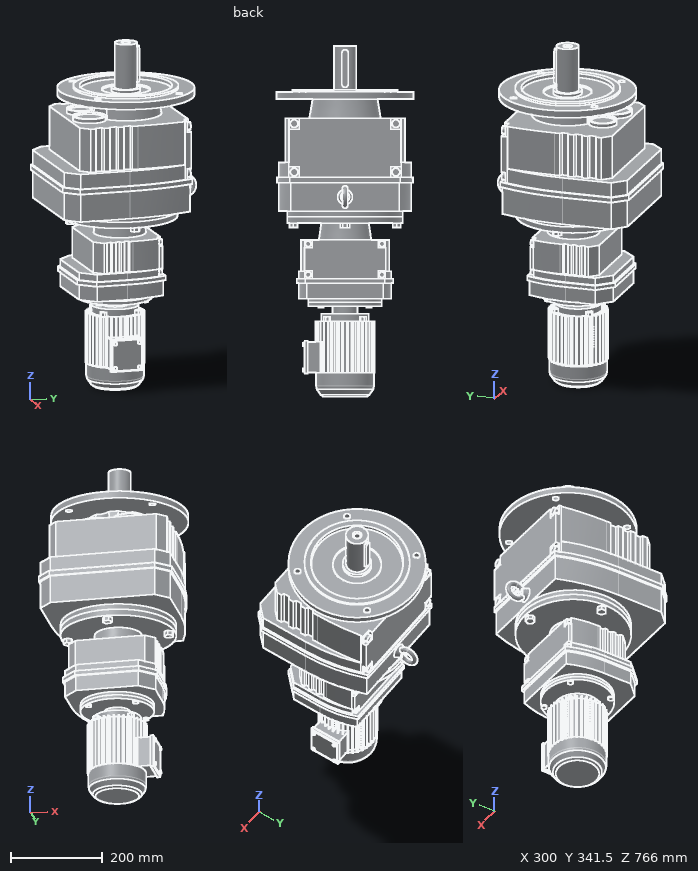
import cadquery as cq
import math

TOTAL_HEIGHT = 766.0

OUTPUT_AXIS_Y = 0.0
STAGE_AXIS_Y = -14.0
MOTOR_AXIS_Y = -24.5

BOLT_COUNT = 4
DIAGONAL = 45.0

GROOVE_COUNT = 3

SHAFT_RADIUS = 24.5
SHAFT_LENGTH = 100.0
COLLAR_RADIUS = 31.5
CENTRE_HOLE_RADIUS = 7.0
CENTRE_HOLE_MOUTH_RADIUS = 10.0
CENTRE_HOLE_DEPTH = 31.0
DRILL_POINT_ANGLE = 118.0
KEY_WIDTH = 14.0
KEY_LENGTH = 82.0
KEY_END_GAP = 8.5
KEY_PROUD = 4.5

FLANGE_RADIUS = 150.0
FLANGE_THICKNESS = 16.0
SPIGOT_RADIUS = 115.0
SPIGOT_HEIGHT = 4.5
RECESS_MOUTH_RADIUS = 101.0
RECESS_FLOOR_RADIUS = 99.5
RECESS_DEPTH = 4.0
SEAL_RADIUS = 53.0
SEAL_STEP = 4.0
FLANGE_HOLE_RADIUS = 7.0
FLANGE_HOLE_CIRCLE = 132.0

NECK_HEIGHT = 41.0
NECK_TOP_RADIUS = 71.0
NECK_BASE_RADIUS = 78.0
SMALL_CAP_X = -34.5
SMALL_CAP_Y = -93.0
SMALL_CAP_RADIUS = 31.0
LARGE_CAP_X = 41.0
LARGE_CAP_Y = -96.5
LARGE_CAP_RADIUS = 36.0
CAP_HEIGHT = 9.0
CAP_RIM = 4.0
CAP_RECESS_DEPTH = 4.0
CAP_CLEARANCE = 3.0

CASE_TOP_HEIGHT = 96.5
CASE_SHOULDER_HEIGHT = 33.0
CASE_LIP_HEIGHT = 11.5
CASE_BASE_HEIGHT = 62.0
COVER_RADIUS = 126.5
COVER_HEIGHT = 12.0

EYE_Y = 136.0
EYE_RADIUS = 18.5
EYE_ROD_RADIUS = 6.0
EYE_FOOT_RADIUS = 17.0
EYE_FOOT_LENGTH = 15.0
EYE_FOOT_TIP_RADIUS = 10.0

STAGE_FLANGE_HEIGHT = 14.0
STAGE_BOLT_CIRCLE = 112.5
STAGE_BOLT_DIAMETER = 21.0
STAGE_BOLT_HEIGHT = 10.0
STAGE_NECK_HEIGHT = 37.0
STAGE_NECK_TOP_RADIUS = 52.0
STAGE_NECK_BASE_RADIUS = 57.5
STAGE_TOP_HEIGHT = 68.0
STAGE_SHOULDER_HEIGHT = 16.0
STAGE_LIP_HEIGHT = 10.0
STAGE_BASE_HEIGHT = 34.5
STAGE_COVER_RADIUS = 80.5
STAGE_COVER_HEIGHT = 8.0

ADAPTER_HEIGHT = 8.5
ADAPTER_BOLT_CIRCLE = 74.0
ADAPTER_BOLT_RADIUS = 6.0
ADAPTER_BOLT_HEIGHT = 3.0
MOTOR_NECK_RADIUS = 27.5
MOTOR_NECK_HEIGHT = 16.0
SHIELD_RADIUS = 52.0
SHIELD_HEIGHT = 16.0
SHIELD_BOLT_CIRCLE = 54.5
SHIELD_BOLT_DIAMETER = 15.0
SHIELD_BOLT_HEIGHT = 9.0
CORE_RADIUS = 55.0
FIN_RADIUS = 65.0
FIN_COUNT = 36
FIN_THICKNESS = 2.0
FIN_HEIGHT = 112.5
FAN_RADIUS = 63.5
FAN_EDGE_HEIGHT = 24.0
FAN_BEVEL_RADIUS = 62.0
FAN_BEVEL_HEIGHT = 17.0
FAN_SHOULDER_RADIUS = 54.0
FAN_SHOULDER_HEIGHT = 4.5
FAN_END_RADIUS = 47.5

BOX_REACH = 81.0
BOX_WIDTH = 67.5
BOX_HEIGHT = 67.5
LID_THICKNESS = 7.0
LID_OVERHANG = 2.0
LID_PANEL_THICKNESS = 1.5
LID_SCREW_RADIUS = 4.0
LID_SCREW_HEIGHT = 2.0
LID_SCREW_INSET = 6.0

FLANGE_FACE_Z = TOTAL_HEIGHT - SHAFT_LENGTH
FLANGE_BACK_Z = FLANGE_FACE_Z - FLANGE_THICKNESS
CASE_TOP_Z = FLANGE_BACK_Z - NECK_HEIGHT
CASE_SHOULDER_Z = CASE_TOP_Z - CASE_TOP_HEIGHT
CASE_LIP_Z = CASE_SHOULDER_Z - CASE_SHOULDER_HEIGHT
CASE_BASE_Z = CASE_LIP_Z - CASE_LIP_HEIGHT - CASE_BASE_HEIGHT
STAGE_JOINT_Z = CASE_BASE_Z - COVER_HEIGHT
STAGE_FLANGE_BACK_Z = STAGE_JOINT_Z - STAGE_FLANGE_HEIGHT
STAGE_TOP_Z = STAGE_FLANGE_BACK_Z - STAGE_NECK_HEIGHT
STAGE_SHOULDER_Z = STAGE_TOP_Z - STAGE_TOP_HEIGHT
STAGE_LIP_Z = STAGE_SHOULDER_Z - STAGE_SHOULDER_HEIGHT
STAGE_BASE_Z = STAGE_LIP_Z - STAGE_LIP_HEIGHT - STAGE_BASE_HEIGHT
MOTOR_JOINT_Z = STAGE_BASE_Z - STAGE_COVER_HEIGHT
ADAPTER_BACK_Z = MOTOR_JOINT_Z - ADAPTER_HEIGHT
SHIELD_TOP_Z = ADAPTER_BACK_Z - MOTOR_NECK_HEIGHT
FIN_TOP_Z = SHIELD_TOP_Z - SHIELD_HEIGHT
FIN_BASE_Z = FIN_TOP_Z - FIN_HEIGHT


def disc(radius, top_z, height, x=0.0, y=0.0):
    """Upright cylinder hanging down from top_z."""
    return cq.Workplane("XY", origin=(x, y, top_z)).circle(radius).extrude(-height)


def cone(top_radius, base_radius, top_z, height, y):
    """Upright frustum hanging down from top_z."""
    outline = [(0, top_z), (top_radius, top_z), (base_radius, top_z - height), (0, top_z - height)]
    return revolve_outline(outline).translate((0, y, 0))


def revolve_outline(points):
    """Solid of revolution about Z from (radius, z) points."""
    return cq.Workplane("XZ").polyline(points).close().revolve(360, (0, 0), (0, 1))


def ring_of_points(radius, count, start_angle):
    angles = [math.radians(start_angle + i * 360 / count) for i in range(count)]
    return [(radius * math.cos(a), radius * math.sin(a)) for a in angles]


def case_block(top_z, height, half_width, front, corner, arc_start, arc_radius, back, grow=0.0):
    """Gear case slab: chamfered front corners, straight sides, then sides arching in to a flat back.

    front and back are Y positions; grow widens the whole outline evenly.
    """
    half = half_width + grow
    nose = front - grow
    cut = corner + grow * (2 - math.sqrt(2))
    rear = back + grow
    bend = arc_radius + grow
    rear_half = half - bend + math.sqrt(bend**2 - (rear - arc_start) ** 2)
    return (
        cq.Workplane("XY", origin=(0, 0, top_z))
        .moveTo(0, nose)
        .lineTo(half - cut, nose)
        .lineTo(half, nose + cut)
        .lineTo(half, arc_start)
        .tangentArcPoint((rear_half, rear), relative=False)
        .lineTo(0, rear)
        .mirrorY()
        .extrude(-height)
    )


def side_grooves(top_z, height, half_width, first_y, pitch, depth, wall_run):
    """Upright grooves in each side of a gear case, as wide as the ribs between them.

    first_y is the middle of the rearmost sloping wall; every wall runs wall_run along Y.
    """
    lean = wall_run / 2
    grooves = []
    for i in range(GROOVE_COUNT):
        rear_y = first_y - 2 * i * pitch
        front_y = rear_y - pitch
        groove = (
            cq.Workplane("XY", origin=(0, 0, top_z))
            .moveTo(half_width, rear_y + lean)
            .lineTo(half_width, front_y - lean)
            .lineTo(half_width - depth, front_y + lean)
            .lineTo(half_width - depth, rear_y - lean)
            .close()
            .extrude(-height)
        )
        grooves += [groove, groove.mirror("YZ")]
    return grooves


def rear_cover(top_z, height, half_width, inner_y, thickness, notch_width, notch_height, screw_radius):
    """Cover plate on the rear face, with a screw head standing in each notched corner."""
    middle_z = top_z - height / 2
    plate = cq.Workplane("XY").box(2 * half_width, thickness, height)
    plate = plate.translate((0, inner_y + thickness / 2, middle_z))
    corner_x = half_width - notch_width / 2
    corner_z = height / 2 - notch_height / 2
    for side in (-1, 1):
        for end in (-1, 1):
            notch = cq.Workplane("XY").box(notch_width, thickness, notch_height)
            notch = notch.translate((side * corner_x, inner_y + thickness / 2, middle_z + end * corner_z))
            head = cq.Workplane("XZ", origin=(side * corner_x, inner_y, middle_z + end * corner_z))
            plate = plate.cut(notch).union(head.circle(screw_radius).extrude(-thickness))
    return plate


def output_flange():
    floor_z = FLANGE_FACE_Z - RECESS_DEPTH
    spigot_z = FLANGE_FACE_Z + SPIGOT_HEIGHT
    seal_z = floor_z - SEAL_STEP
    flange = revolve_outline([
        (0, FLANGE_BACK_Z),
        (FLANGE_RADIUS, FLANGE_BACK_Z),
        (FLANGE_RADIUS, FLANGE_FACE_Z),
        (SPIGOT_RADIUS, FLANGE_FACE_Z),
        (SPIGOT_RADIUS, spigot_z),
        (RECESS_MOUTH_RADIUS, spigot_z),
        (RECESS_FLOOR_RADIUS, floor_z),
        (SEAL_RADIUS, floor_z),
        (SEAL_RADIUS, seal_z),
        (COLLAR_RADIUS, seal_z),
        (COLLAR_RADIUS, FLANGE_FACE_Z),
        (0, FLANGE_FACE_Z),
    ])
    holes = (
        cq.Workplane("XY", origin=(0, 0, FLANGE_FACE_Z))
        .pushPoints(ring_of_points(FLANGE_HOLE_CIRCLE, BOLT_COUNT, DIAGONAL))
        .circle(FLANGE_HOLE_RADIUS)
        .extrude(-FLANGE_THICKNESS)
    )
    return flange.cut(holes)


def output_shaft():
    """Keyed shaft with a countersunk centre hole that ends in a drill point."""
    shaft = disc(SHAFT_RADIUS, TOTAL_HEIGHT, SHAFT_LENGTH)
    mouth_depth = CENTRE_HOLE_MOUTH_RADIUS - CENTRE_HOLE_RADIUS
    point_depth = CENTRE_HOLE_RADIUS / math.tan(math.radians(DRILL_POINT_ANGLE / 2))
    wall_end_z = TOTAL_HEIGHT - CENTRE_HOLE_DEPTH
    centre_hole = revolve_outline([
        (0, TOTAL_HEIGHT),
        (CENTRE_HOLE_MOUTH_RADIUS, TOTAL_HEIGHT),
        (CENTRE_HOLE_RADIUS, TOTAL_HEIGHT - mouth_depth),
        (CENTRE_HOLE_RADIUS, wall_end_z),
        (0, wall_end_z - point_depth),
    ])
    key_z = TOTAL_HEIGHT - KEY_END_GAP - KEY_LENGTH / 2
    key_seat = SHAFT_RADIUS - KEY_PROUD
    key = (
        cq.Workplane("XZ", origin=(0, key_seat, key_z))
        .slot2D(KEY_LENGTH, KEY_WIDTH, 90)
        .extrude(-2 * KEY_PROUD)
    )
    return shaft.union(key).cut(centre_hole)


def output_neck():
    """Tapered neck, relieved around two recessed caps on the case top."""
    neck = cone(NECK_TOP_RADIUS, NECK_BASE_RADIUS, FLANGE_BACK_Z, NECK_HEIGHT, OUTPUT_AXIS_Y)
    cap_top_z = CASE_TOP_Z + CAP_HEIGHT
    caps = [
        (SMALL_CAP_X, SMALL_CAP_Y, SMALL_CAP_RADIUS),
        (LARGE_CAP_X, LARGE_CAP_Y, LARGE_CAP_RADIUS),
    ]
    for x, y, radius in caps:
        neck = neck.cut(disc(radius + CAP_CLEARANCE, FLANGE_BACK_Z, NECK_HEIGHT, x, y))
    for x, y, radius in caps:
        cap = disc(radius, cap_top_z, CAP_HEIGHT, x, y)
        recess = disc(radius - CAP_RIM, cap_top_z, CAP_RECESS_DEPTH, x, y)
        neck = neck.union(cap.cut(recess))
    return neck


def output_case():
    wide = dict(half_width=145.0, front=-177.0, corner=28.0, arc_start=-36.0, arc_radius=414.0)
    narrow = dict(half_width=131.0, front=-140.0, corner=19.0, arc_start=-14.0, arc_radius=659.0)
    grooves = dict(first_y=-27.5, pitch=16.0, depth=6.0, wall_run=3.0)
    corners = dict(notch_width=23.0, notch_height=24.0, screw_radius=8.5)
    pad_y = 97.0
    pad_thickness = 5.0
    pad_half_width = 122.5
    back_y = 110.0
    plate_thickness = 9.0
    lip_grow = 4.0
    rear_height = CASE_TOP_HEIGHT + CASE_SHOULDER_HEIGHT

    top = case_block(CASE_TOP_Z, CASE_TOP_HEIGHT, back=pad_y, **narrow)
    for groove in side_grooves(CASE_TOP_Z, CASE_TOP_HEIGHT, narrow["half_width"], **grooves):
        top = top.cut(groove)
    shoulder = case_block(CASE_SHOULDER_Z, CASE_SHOULDER_HEIGHT, back=pad_y, **wide)
    lip = case_block(CASE_LIP_Z, CASE_LIP_HEIGHT, back=back_y, grow=lip_grow, **wide)
    base = case_block(CASE_LIP_Z - CASE_LIP_HEIGHT, CASE_BASE_HEIGHT, back=back_y, **wide)
    pad = cq.Workplane("XY").box(2 * pad_half_width, pad_thickness, rear_height)
    pad = pad.translate((0, pad_y + pad_thickness / 2, CASE_TOP_Z - rear_height / 2))
    plate_y = pad_y + pad_thickness
    plate = rear_cover(CASE_TOP_Z, rear_height, pad_half_width, plate_y, plate_thickness, **corners)
    cover = disc(COVER_RADIUS, CASE_BASE_Z, COVER_HEIGHT, y=STAGE_AXIS_Y)
    return top.union(shoulder).union(lip).union(base).union(pad).union(plate).union(cover)


def lifting_eye():
    """Ring in the YZ plane on a tapered foot, halfway up the lower part of the case."""
    eye_z = CASE_BASE_Z + CASE_BASE_HEIGHT / 2
    eye_ring = cq.Solid.makeTorus(
        EYE_RADIUS, EYE_ROD_RADIUS, cq.Vector(0, EYE_Y, eye_z), cq.Vector(1, 0, 0)
    )
    foot_tip_y = EYE_Y - EYE_RADIUS + EYE_ROD_RADIUS
    foot_y = foot_tip_y - EYE_FOOT_LENGTH
    foot = cq.Solid.makeCone(
        EYE_FOOT_RADIUS,
        EYE_FOOT_TIP_RADIUS,
        EYE_FOOT_LENGTH,
        cq.Vector(0, foot_y, eye_z),
        cq.Vector(0, 1, 0),
    )
    hole = cq.Workplane("YZ", origin=(0, EYE_Y, eye_z)).circle(EYE_RADIUS - EYE_ROD_RADIUS)
    foot_body = cq.Workplane(foot).cut(hole.extrude(EYE_FOOT_RADIUS, both=True))
    return foot_body.union(cq.Workplane(eye_ring))


def output_gear_unit():
    unit = output_case().union(output_neck()).union(output_flange())
    return unit.union(output_shaft()).union(lifting_eye())


def stage_flange():
    """Round flange bolted to the output gear unit, with hex bolt heads underneath, square to X and Y."""
    flange = disc(COVER_RADIUS, STAGE_JOINT_Z, STAGE_FLANGE_HEIGHT, y=STAGE_AXIS_Y)
    for i in range(BOLT_COUNT):
        head = (
            cq.Workplane("XY", origin=(STAGE_BOLT_CIRCLE, 0, STAGE_FLANGE_BACK_Z))
            .transformed(rotate=(0, 0, 90))
            .polygon(6, STAGE_BOLT_DIAMETER)
            .extrude(-STAGE_BOLT_HEIGHT)
            .rotate((0, 0, 0), (0, 0, 1), i * 360 / BOLT_COUNT)
        )
        flange = flange.union(head.translate((0, STAGE_AXIS_Y, 0)))
    return flange


def stage_case():
    wide = dict(half_width=101.0, front=-129.0, corner=31.5, arc_start=-28.0, arc_radius=230.0)
    narrow = dict(half_width=96.5, front=-99.0, corner=19.0, arc_start=-14.0, arc_radius=237.5)
    grooves = dict(first_y=-22.0, pitch=10.0, depth=4.5, wall_run=2.0)
    corners = dict(notch_width=17.0, notch_height=17.0, screw_radius=6.0)
    plate_y = 49.0
    plate_half_width = 89.0
    plate_thickness = 8.0
    back_y = 60.0
    lip_grow = 4.5
    rear_height = STAGE_TOP_HEIGHT + STAGE_SHOULDER_HEIGHT

    top = case_block(STAGE_TOP_Z, STAGE_TOP_HEIGHT, back=plate_y, **narrow)
    for groove in side_grooves(STAGE_TOP_Z, STAGE_TOP_HEIGHT, narrow["half_width"], **grooves):
        top = top.cut(groove)
    shoulder = case_block(STAGE_SHOULDER_Z, STAGE_SHOULDER_HEIGHT, back=plate_y, **wide)
    lip = case_block(STAGE_LIP_Z, STAGE_LIP_HEIGHT, back=back_y, grow=lip_grow, **wide)
    base = case_block(STAGE_LIP_Z - STAGE_LIP_HEIGHT, STAGE_BASE_HEIGHT, back=back_y, **wide)
    plate = rear_cover(STAGE_TOP_Z, rear_height, plate_half_width, plate_y, plate_thickness, **corners)
    cover = disc(STAGE_COVER_RADIUS, STAGE_BASE_Z, STAGE_COVER_HEIGHT, y=MOTOR_AXIS_Y)
    return top.union(shoulder).union(lip).union(base).union(plate).union(cover)


def second_gear_stage():
    neck = cone(
        STAGE_NECK_TOP_RADIUS, STAGE_NECK_BASE_RADIUS, STAGE_FLANGE_BACK_Z, STAGE_NECK_HEIGHT, STAGE_AXIS_Y
    )
    return stage_flange().union(neck).union(stage_case())


def motor_front():
    """Adapter flange, slim neck and end shield, with their bolt heads."""
    adapter = disc(STAGE_COVER_RADIUS, MOTOR_JOINT_Z, ADAPTER_HEIGHT)
    adapter_bolts = (
        cq.Workplane("XY", origin=(0, 0, ADAPTER_BACK_Z))
        .pushPoints(ring_of_points(ADAPTER_BOLT_CIRCLE, BOLT_COUNT, DIAGONAL))
        .circle(ADAPTER_BOLT_RADIUS)
        .extrude(-ADAPTER_BOLT_HEIGHT)
    )
    neck = disc(MOTOR_NECK_RADIUS, ADAPTER_BACK_Z, MOTOR_NECK_HEIGHT)
    shield = disc(SHIELD_RADIUS, SHIELD_TOP_Z, SHIELD_HEIGHT)
    shield_bolts = (
        cq.Workplane("XY", origin=(0, 0, FIN_TOP_Z))
        .pushPoints(ring_of_points(SHIELD_BOLT_CIRCLE, BOLT_COUNT, DIAGONAL))
        .polygon(6, SHIELD_BOLT_DIAMETER)
        .extrude(SHIELD_BOLT_HEIGHT)
    )
    return adapter.union(adapter_bolts).union(neck).union(shield).union(shield_bolts)


def finned_frame():
    core = disc(CORE_RADIUS, FIN_TOP_Z, FIN_HEIGHT)
    fin_length = FIN_RADIUS - CORE_RADIUS / 2
    pitch = 360 / FIN_COUNT
    fins = (
        cq.Workplane("XY", origin=(0, 0, FIN_BASE_Z))
        .polarArray(FIN_RADIUS - fin_length / 2, pitch / 2, 360, FIN_COUNT)
        .rect(fin_length, FIN_THICKNESS)
        .extrude(FIN_HEIGHT)
    )
    return core.union(fins)


def fan_cover():
    return revolve_outline([
        (0, FIN_BASE_Z),
        (FAN_RADIUS, FIN_BASE_Z),
        (FAN_RADIUS, FAN_EDGE_HEIGHT),
        (FAN_BEVEL_RADIUS, FAN_BEVEL_HEIGHT),
        (FAN_SHOULDER_RADIUS, FAN_SHOULDER_HEIGHT),
        (FAN_END_RADIUS, 0),
        (0, 0),
    ])


def terminal_box():
    """Box with an overhanging lid, a raised lid panel and a screw in each lid corner."""
    middle_z = FIN_BASE_Z + BOX_HEIGHT / 2
    lid_width = BOX_WIDTH + 2 * LID_OVERHANG
    lid_height = BOX_HEIGHT + 2 * LID_OVERHANG
    lid_x = BOX_REACH + LID_THICKNESS
    panel_x = lid_x + LID_PANEL_THICKNESS
    screw_spacing_y = BOX_WIDTH - 2 * LID_SCREW_INSET
    screw_spacing_z = BOX_HEIGHT - 2 * LID_SCREW_INSET

    def plane(x):
        return cq.Workplane("YZ", origin=(x, 0, middle_z))

    box = plane(0).rect(BOX_WIDTH, BOX_HEIGHT).extrude(BOX_REACH)
    lid = plane(BOX_REACH).rect(lid_width, lid_height).extrude(LID_THICKNESS)
    panel = plane(lid_x).rect(BOX_WIDTH, BOX_HEIGHT).extrude(LID_PANEL_THICKNESS)
    screws = (
        plane(panel_x)
        .rarray(screw_spacing_y, screw_spacing_z, 2, 2)
        .circle(LID_SCREW_RADIUS)
        .extrude(LID_SCREW_HEIGHT)
    )
    return box.union(lid).union(panel).union(screws)


def motor():
    body = motor_front().union(finned_frame()).union(fan_cover()).union(terminal_box())
    return body.translate((0, MOTOR_AXIS_Y, 0))


result = cq.Compound.makeCompound([
    output_gear_unit().val(),
    second_gear_stage().val(),
    motor().val(),
])